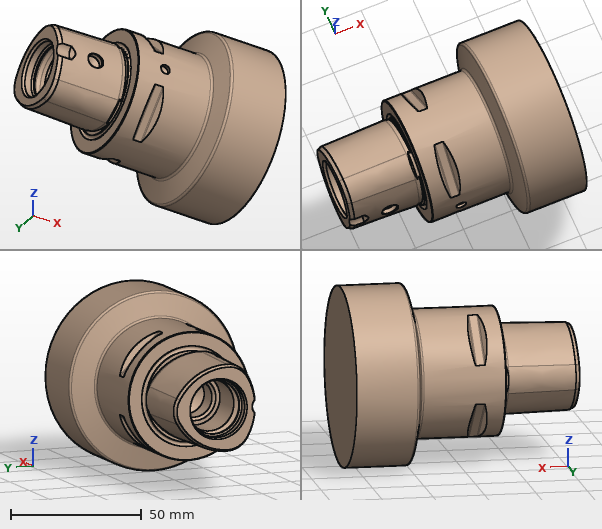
import cadquery as cq
import math

LENGTH = 90
TAPER_END = 27.9
FLANGE_FACE = 30.0
CONE_START = 62.9
CONE_ANGLE = 75

BODY_RADIUS = 50.0 / 2
RIM_RADIUS = 70.0 / 2
CONE_LENGTH = (RIM_RADIUS - BODY_RADIUS) / math.tan(math.radians(CONE_ANGLE))
EDGE_FILLET = 1.0
FACE_CHAMFER = 0.3

GAUGE_RADIUS = 17.55
TAPER = 1 / 40
LOBE_OFFSET = 1.1
LOBE_CENTRE = LOBE_OFFSET / (1 - math.cos(math.radians(30)))
TIP_CHAMFER_LENGTH = 1.6
TIP_CHAMFER_DEPTH = 0.8
LOBE_ANGLES = (0, 120, 240)

NECK_RADIUS = 17.7
LOBE_RELIEF_END = 28.8
RUNOUT_DEPTH = 0.4
COLLAR_START = 29.7
FACE_GROOVE_OUTER_RADIUS = 19.5

MOUTH_RADIUS = 11.8
ENTRY_RADIUS = 11.25
ENTRY_START = 1.2
ENTRY_END = 4.0
LIP_RADIUS = 21.0 / 2
LIP_START = 4.6
LIP_END = 5.1
GROOVE_RADIUS = 24.0 / 2
GROOVE_START = 5.6
GROOVE_FILLET = 2.2
COUNTERBORE_RADIUS = 10.1
COUNTERBORE_START = 9.3
COUNTERBORE_DEPTH = 23.4
SEAT_RADIUS = 8.4
BORE_RADIUS = 14.5 / 2
BORE_DEPTH = 32.4
DRILL_POINT_ANGLE = 118

SLOT_X = 40.0
SLOT_FLOOR_WIDTH = 3.6
SLOT_FILLET = 0.45
SLOT_FLOOR_HEIGHT = 22.2
SLOT_WALL_ANGLE = 30
SLOT_ANGLES = (45, 135, 225, 315)

KEY_DIAMETER = 7.2
KEY_POINT_ANGLE = 100
KEY_Y = -17.55
KEY_DEPTH = 5.6
SHANK_HOLE_X = 16.1
SHANK_HOLE_DIAMETER = 6.1
SHANK_HOLE_FLOOR = 13.95
COUNTERSINK_RADIUS = 3.4
COUNTERSINK_HEIGHT = 16.2
MARK_X = 42.0
MARK_DIAMETER = 4.0
MARK_DEPTH = 1.35


def point_length(radius, point_angle=DRILL_POINT_ANGLE):
    """Length of the conical point of a drill."""
    return radius / math.tan(math.radians(point_angle / 2))


def turned(points):
    """Revolve an (x, radius) outline about the X axis."""
    return cq.Workplane("XY").polyline(points).close().revolve(360, (0, 0, 0), (1, 0, 0))


def ring_at(x, radius):
    """Selector for the circular edge of a turned shape at a position along X."""
    reach = radius + 0.9
    return cq.selectors.BoxSelector((x - 0.1, -reach, -reach), (x + 0.1, reach, reach), boundingbox=True)


def drill(start, direction, radius, depth, point_angle=DRILL_POINT_ANGLE):
    """Drill-shaped cutter with a conical point beyond its full depth."""
    start = cq.Vector(*start)
    direction = cq.Vector(*direction)
    barrel = cq.Solid.makeCylinder(radius, depth, start, direction)
    tip_length = point_length(radius, point_angle)
    point = cq.Solid.makeCone(radius, 0, tip_length, start + direction * depth, direction)
    return cq.Workplane(barrel.fuse(point))


def arc_point(centre_angle, centre_distance, radius, direction):
    """Point at a given direction and radius from a centre placed around the axis."""
    centre = math.radians(centre_angle)
    normal = math.radians(direction)
    return (
        centre_distance * math.cos(centre) + radius * math.cos(normal),
        centre_distance * math.sin(centre) + radius * math.sin(normal),
    )


def lobed_section(sketch, mean_radius):
    """Closed constant-width outline of six tangent arcs."""
    lobe_radius = mean_radius + LOBE_OFFSET - LOBE_CENTRE
    flat_radius = 2 * mean_radius - lobe_radius
    sketch = sketch.moveTo(*arc_point(0, LOBE_CENTRE, lobe_radius, -30))
    for angle in LOBE_ANGLES:
        opposite = angle + 240
        sketch = sketch.threePointArc(
            arc_point(angle, LOBE_CENTRE, lobe_radius, angle),
            arc_point(angle, LOBE_CENTRE, lobe_radius, angle + 30),
        ).threePointArc(
            arc_point(opposite, LOBE_CENTRE, flat_radius, angle + 60),
            arc_point(opposite, LOBE_CENTRE, flat_radius, angle + 90),
        )
    return sketch.close()


def lobed_segment(start, start_radius, end, end_radius):
    """Tapered length of shank between two positions along X."""
    first = lobed_section(cq.Workplane("YZ").workplane(offset=start), start_radius)
    return lobed_section(first.workplane(offset=end - start), end_radius).loft(ruled=True, combine=True)


def make_body():
    cone_end = CONE_START + CONE_LENGTH
    body = turned([
        (FLANGE_FACE, 0),
        (FLANGE_FACE, BODY_RADIUS),
        (CONE_START, BODY_RADIUS),
        (cone_end, RIM_RADIUS),
        (LENGTH, RIM_RADIUS),
        (LENGTH, 0),
    ])
    for x, radius in ((CONE_START, BODY_RADIUS), (cone_end, RIM_RADIUS)):
        body = body.edges(ring_at(x, radius)).fillet(EDGE_FILLET)
    body = body.faces("<X").chamfer(FACE_CHAMFER)
    groove_size = (FACE_GROOVE_OUTER_RADIUS - NECK_RADIUS) / 2
    groove_centre = cq.Vector(FLANGE_FACE, 0, 0)
    groove = cq.Solid.makeTorus(NECK_RADIUS + groove_size, groove_size, groove_centre, cq.Vector(1, 0, 0))
    return body.cut(cq.Workplane(groove))


def make_shank():
    chamfer_radius = GAUGE_RADIUS - TAPER * (TAPER_END - TIP_CHAMFER_LENGTH)
    tip = lobed_segment(0, chamfer_radius - TIP_CHAMFER_DEPTH, TIP_CHAMFER_LENGTH, chamfer_radius)
    taper = lobed_segment(TIP_CHAMFER_LENGTH, chamfer_radius, TAPER_END, GAUGE_RADIUS)
    runout = lobed_segment(TAPER_END, GAUGE_RADIUS, COLLAR_START, GAUGE_RADIUS - RUNOUT_DEPTH)
    relief = turned([
        (TAPER_END, 0),
        (TAPER_END, GAUGE_RADIUS + LOBE_OFFSET),
        (LOBE_RELIEF_END, NECK_RADIUS),
        (COLLAR_START, NECK_RADIUS),
        (COLLAR_START, 0),
    ])
    collar = turned([
        (COLLAR_START, 0),
        (COLLAR_START, NECK_RADIUS),
        (FLANGE_FACE, NECK_RADIUS),
        (FLANGE_FACE, 0),
    ])
    return tip.union(taper).union(runout.intersect(relief)).union(collar)


def make_bore():
    groove_end = COUNTERBORE_START - (GROOVE_RADIUS - COUNTERBORE_RADIUS)
    bore = turned([
        (0, 0),
        (0, MOUTH_RADIUS),
        (ENTRY_START, ENTRY_RADIUS),
        (ENTRY_END, ENTRY_RADIUS),
        (LIP_START, LIP_RADIUS),
        (LIP_END, LIP_RADIUS),
        (GROOVE_START, GROOVE_RADIUS),
        (groove_end, GROOVE_RADIUS),
        (COUNTERBORE_START, COUNTERBORE_RADIUS),
        (COUNTERBORE_DEPTH, COUNTERBORE_RADIUS),
        (COUNTERBORE_DEPTH, SEAT_RADIUS),
        (COUNTERBORE_DEPTH + SEAT_RADIUS - BORE_RADIUS, BORE_RADIUS),
        (BORE_DEPTH, BORE_RADIUS),
        (BORE_DEPTH + point_length(BORE_RADIUS), 0),
    ])
    return bore.edges(ring_at(groove_end, GROOVE_RADIUS)).fillet(GROOVE_FILLET)


def make_slots():
    """Straight slots with sloping walls, cut across the body on four sides."""
    cutter_top = BODY_RADIUS + 0.9
    spread = (cutter_top - SLOT_FLOOR_HEIGHT) * math.tan(math.radians(SLOT_WALL_ANGLE))
    half_floor = SLOT_FLOOR_WIDTH / 2
    cutter = (
        cq.Workplane("XZ")
        .polyline([
            (SLOT_X - half_floor, SLOT_FLOOR_HEIGHT),
            (SLOT_X + half_floor, SLOT_FLOOR_HEIGHT),
            (SLOT_X + half_floor + spread, cutter_top),
            (SLOT_X - half_floor - spread, cutter_top),
        ])
        .close()
        .extrude(BODY_RADIUS, both=True)
        .faces("<Z")
        .edges("|Y")
        .fillet(SLOT_FILLET)
    )
    slots = cq.Workplane("XY")
    for angle in SLOT_ANGLES:
        slots = slots.add(cutter.rotate((0, 0, 0), (1, 0, 0), angle))
    return slots.combine()


def make_countersink():
    """Conical rim of the shank hole, widening at 45 degrees beyond the shank surface."""
    hole_radius = SHANK_HOLE_DIAMETER / 2
    wide_radius = COUNTERSINK_RADIUS + (GAUGE_RADIUS - COUNTERSINK_HEIGHT)
    return cq.Workplane(
        cq.Solid.makeCone(
            wide_radius,
            hole_radius,
            wide_radius - hole_radius,
            cq.Vector(SHANK_HOLE_X, -GAUGE_RADIUS, 0),
            cq.Vector(0, 1, 0),
        )
    )


def make_drillings():
    key = drill((0, KEY_Y, 0), (1, 0, 0), KEY_DIAMETER / 2, KEY_DEPTH, KEY_POINT_ANGLE)
    shank_hole = drill(
        (SHANK_HOLE_X, -BODY_RADIUS, 0), (0, 1, 0), SHANK_HOLE_DIAMETER / 2, BODY_RADIUS - SHANK_HOLE_FLOOR
    )
    mark = drill((MARK_X, -BODY_RADIUS, 0), (0, 1, 0), MARK_DIAMETER / 2, MARK_DEPTH)
    return key, shank_hole, make_countersink(), mark


result = make_body().union(make_shank()).cut(make_bore()).cut(make_slots())
for cutter in make_drillings():
    result = result.cut(cutter)